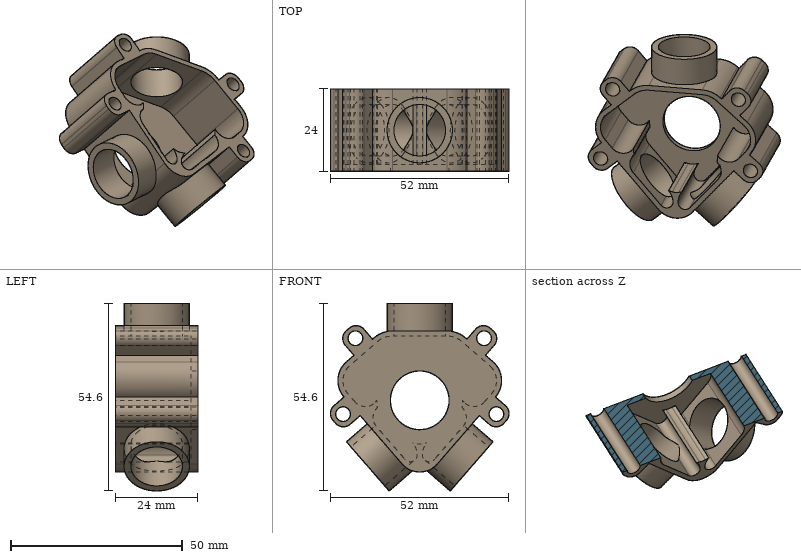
import cadquery as cq
import math


depth = 24.0
floor_thickness = 2.0
wall = 1.5
front = -depth / 2
front_bore_diameter = 17.0

wall_angle = math.radians(49.0)
top_height = 20.2
side_distance = 16.0
shoulder_distance = 22.45
top_radius = 8.2
shoulder_radius = 7.25
bottom_radius = 6.7

port_diameter = 19.0
port_bore_diameter = 15.0
port_length = 8.0
side_port_shift = 4.6

ear_hole_diameter = 4.2
ear_width = 7.2
ear_end = 3.4
ear_root = 8.0
ear_corner_radius = 3.0
upper_ear_hole = (18.7, 18.05)
lower_ear_hole = (22.29, -4.02)

chamber_radius = 12.5
divider_waist_width = 1.52

flank_round_radius = 4.0
flank_round_rise = 2.5

pocket_radius = 2.0
divider_head_width = 4.06
divider_tip_height = -12.35
divider_hollow_width = 1.9
divider_slope = math.radians(15.0)
divider_hollow_rise = 0.12

wall_sin = math.sin(wall_angle)
wall_cos = math.cos(wall_angle)
inner_side = side_distance - wall
inner_top = top_height - wall
pocket_distance = inner_side - pocket_radius


def beside_wall(outward, up):
    """Point (x, z) given by its distance square to the +X side wall and its distance up along it."""
    return (outward * wall_sin + up * wall_cos, -outward * wall_cos + up * wall_sin)


def mirrored(point):
    """Mirror a point (x, z) across X = 0."""
    return (-point[0], point[1])


def on_circle(center, radius, angle):
    """Point of a circle at an angle above +X."""
    return (center[0] + radius * math.cos(angle), center[1] + radius * math.sin(angle))


def direction(start, end):
    """Angle of the line from start to end."""
    return math.atan2(end[1] - start[1], end[0] - start[0])


def arc_middle(center, radius, start, end):
    """Middle of the shorter arc from start to end around center."""
    chord_middle = ((start[0] + end[0]) / 2, (start[1] + end[1]) / 2)
    return on_circle(center, radius, direction(center, chord_middle))


def add_arc(path, center, radius, start, end):
    """Continue path from start along the shorter arc to end."""
    return path.threePointArc(arc_middle(center, radius, start, end), end)


def chamber_crossing(center, side):
    """Where a divider rounding meets the chamber; side +1 or -1 picks the crossing around the chamber."""
    distance = math.hypot(*center)
    cosine = (chamber_radius**2 + distance**2 - flank_round_radius**2) / (2 * chamber_radius * distance)
    return on_circle((0, 0), chamber_radius, direction((0, 0), center) + side * math.acos(cosine))


def prism(outline, start, length):
    """Extrude an outline drawn in X and Z towards +Y from Y = start."""
    return outline.extrude(-length).translate((0, start, 0))


def cylinder(origin, toward, diameter, length):
    """Cylinder in the plane Y = 0 from origin (x, z) along toward (x, z)."""
    plane = cq.Plane((origin[0], 0, origin[1]), (0, 1, 0), (toward[0], 0, toward[1]))
    return cq.Workplane(plane).circle(diameter / 2).extrude(length)


def make_body():
    top_corner = ((shoulder_distance - top_height * wall_sin) / wall_cos, top_height)
    shoulder_corner = beside_wall(side_distance, shoulder_distance)
    bottom_corner = (0, -side_distance / wall_cos)
    corners = [top_corner, shoulder_corner, bottom_corner, mirrored(shoulder_corner), mirrored(top_corner)]
    body = prism(cq.Workplane("XZ").polyline(corners).close(), front, depth)
    body = body.edges("|Y").edges("<Z").fillet(bottom_radius)
    body = body.edges("|Y").edges("<X or >X").fillet(shoulder_radius)
    return body.faces(">Z").edges("|Y").fillet(top_radius)


def make_ear(hole, angle):
    """Ear on the +X side that points along angle (radians above +X)."""
    outline = cq.Workplane("XZ").center((ear_end - ear_root) / 2, 0).rect(ear_end + ear_root, ear_width)
    ear = prism(outline, front, depth).edges("|Y and >X").fillet(ear_corner_radius)
    ear = ear.rotate((0, 0, 0), (0, 1, 0), -math.degrees(angle))
    return ear.translate((hole[0], 0, hole[1]))


def make_cavity():
    """Inside space, open at the back: a half outline mirrored across X = 0, plus the hollow of the head."""
    hollow_edge_x = divider_hollow_width / 2
    head_tip = (divider_head_width / 2, divider_tip_height)
    head_drop = (head_tip[0] - hollow_edge_x) * math.tan(divider_slope)
    hollow_edge = (hollow_edge_x, head_tip[1] - head_drop)
    hollow_bottom = (0, hollow_edge[1] - divider_hollow_rise)
    waist_x = divider_waist_width / 2
    pocket_x = waist_x + pocket_radius
    pocket = (pocket_x, (pocket_x * wall_sin - pocket_distance) / wall_cos)
    waist = (waist_x, pocket[1])
    pocket_end = on_circle(pocket, pocket_radius, wall_angle - math.pi / 2)

    flank_rise = head_tip[1] - waist[1]
    flank_reach = head_tip[0] - waist[0]
    flank_radius = (flank_rise**2 + flank_reach**2) / (2 * flank_reach)
    flank_center = (waist_x + flank_radius, waist[1])

    lower_round = beside_wall(inner_side - flank_round_radius, flank_round_rise)
    lower_foot = beside_wall(inner_side, flank_round_rise)
    lower_tip = chamber_crossing(lower_round, 1)
    upper_rise = flank_round_rise + 2 * flank_round_radius + divider_waist_width
    upper_round = beside_wall(inner_side - flank_round_radius, upper_rise)
    upper_foot = beside_wall(inner_side, upper_rise)
    upper_tip = chamber_crossing(upper_round, -1)

    shoulder_center = beside_wall(side_distance - shoulder_radius, shoulder_distance - shoulder_radius)
    inner_shoulder_radius = shoulder_radius - wall
    shoulder_start = on_circle(shoulder_center, inner_shoulder_radius, wall_angle - math.pi / 2)
    shoulder_end = on_circle(shoulder_center, inner_shoulder_radius, wall_angle)
    top_center_z = top_height - top_radius
    top_center = ((shoulder_distance - top_radius - top_center_z * wall_sin) / wall_cos, top_center_z)
    inner_top_radius = top_radius - wall
    top_start = on_circle(top_center, inner_top_radius, wall_angle)
    top_end = on_circle(top_center, inner_top_radius, math.pi / 2)

    half = cq.Workplane("XZ").moveTo(0, inner_top).lineTo(*hollow_bottom)
    half = half.lineTo(*hollow_edge).lineTo(*head_tip)
    half = add_arc(half, flank_center, flank_radius, head_tip, waist)
    half = add_arc(half, pocket, pocket_radius, waist, pocket_end).lineTo(*lower_foot)
    half = add_arc(half, lower_round, flank_round_radius, lower_foot, lower_tip)
    half = add_arc(half, (0, 0), chamber_radius, lower_tip, upper_tip)
    half = add_arc(half, upper_round, flank_round_radius, upper_tip, upper_foot).lineTo(*shoulder_start)
    half = add_arc(half, shoulder_center, inner_shoulder_radius, shoulder_start, shoulder_end)
    half = half.lineTo(*top_start)
    half = add_arc(half, top_center, inner_top_radius, top_start, top_end).close()
    hollow = cq.Workplane("XZ").moveTo(*hollow_edge)
    hollow = hollow.threePointArc(hollow_bottom, mirrored(hollow_edge)).close()
    cavity_front = front + floor_thickness
    cavity_depth = depth - floor_thickness
    cavity = prism(half, cavity_front, cavity_depth)
    hollow = prism(hollow, cavity_front, cavity_depth)
    return cavity.union(cavity.mirror("YZ")).union(hollow)


def through_hole(point, diameter):
    return prism(cq.Workplane("XZ").center(*point).circle(diameter / 2), front, depth)


ears = [(upper_ear_hole, wall_angle), (lower_ear_hole, wall_angle - math.pi / 2)]
side_axis = beside_wall(1, 0)
side_bore_start = beside_wall(pocket_distance, -side_port_shift)
side_port_center = beside_wall(0, -side_port_shift)
side_port_reach = side_distance + port_length
top_axis = (0, 1)
top_port_reach = top_height + port_length

part = make_body()
for hole, angle in ears:
    ear = make_ear(hole, angle)
    part = part.union(ear).union(ear.mirror("YZ"))

side_port = cylinder(side_port_center, side_axis, port_diameter, side_port_reach)
part = part.union(cylinder((0, 0), top_axis, port_diameter, top_port_reach))
part = part.union(side_port).union(side_port.mirror("YZ"))

part = part.cut(make_cavity())
side_bore = cylinder(side_bore_start, side_axis, port_bore_diameter, side_port_reach - pocket_distance)
part = part.cut(cylinder((0, 0), top_axis, port_bore_diameter, top_port_reach))
part = part.cut(side_bore).cut(side_bore.mirror("YZ"))

part = part.cut(through_hole((0, 0), front_bore_diameter))
for hole, _ in ears:
    ear_hole = through_hole(hole, ear_hole_diameter)
    part = part.cut(ear_hole).cut(ear_hole.mirror("YZ"))

result = part